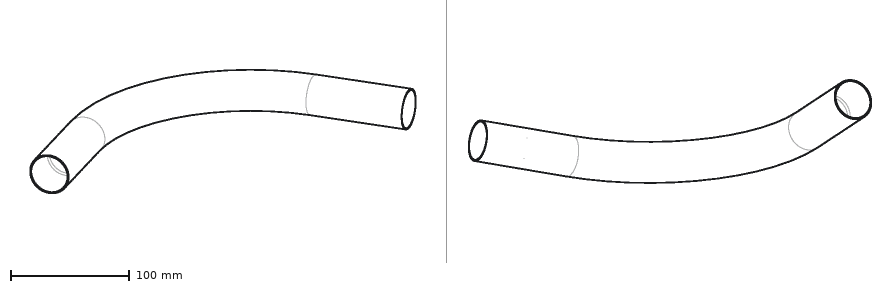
import cadquery as cq
import math

overall_length = 254.0
outer_diameter = 35.0
bend_radius = 150.0
wall = 2.0
socket_wall = 1.2
socket_depth = 38.0
taper_length = 3.0

outer_radius = outer_diameter / 2
inner_radius = outer_radius - wall
socket_radius = outer_radius - socket_wall
leg_length = overall_length - outer_radius - bend_radius
far_end = leg_length + bend_radius

bend_mid_x = bend_radius * (1 - math.cos(math.pi / 4))
bend_mid_y = leg_length + bend_radius * math.sin(math.pi / 4)
centreline = (
    cq.Workplane("XY")
    .lineTo(0, leg_length)
    .threePointArc((bend_mid_x, bend_mid_y), (bend_radius, far_end))
    .lineTo(far_end, far_end)
)

tube = (
    cq.Workplane("XZ")
    .circle(outer_radius)
    .circle(inner_radius)
    .sweep(centreline)
)


def socket(mouth, inward):
    """Cylinder that widens the bore at an open end, then tapers down to the bore."""
    start = cq.Vector(*mouth)
    direction = cq.Vector(*inward)
    shoulder = start + direction * socket_depth
    cylinder = cq.Solid.makeCylinder(socket_radius, socket_depth, start, direction)
    taper = cq.Solid.makeCone(socket_radius, inner_radius, taper_length, shoulder, direction)
    return cylinder.fuse(taper)


result = tube.cut(socket((0, 0, 0), (0, 1, 0)))
result = result.cut(socket((far_end, far_end, 0), (-1, 0, 0)))